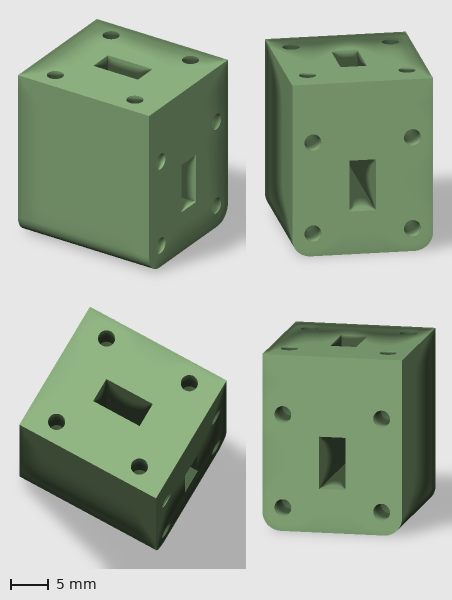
import cadquery as cq
import math

length_x = 20.95
width_y = 19.05
height_z = 24.0
bottom_edge_radius = 2.5

guide_long = 7.1
guide_short = 3.55
guide_axis_z = 9.53

hole_spacing_long = 12.7
hole_spacing_y = 13.46
hole_diameter = 2.28
hole_depth = 4.8
drill_point_angle = 118.0


def drilled_hole():
    """Cutting tool for a hole entering the plane Z = 0 downwards."""
    radius = hole_diameter / 2
    point_depth = radius / math.tan(math.radians(drill_point_angle / 2))
    return (
        cq.Workplane("XZ")
        .moveTo(0, 0)
        .lineTo(radius, 0)
        .lineTo(radius, -hole_depth)
        .lineTo(0, -hole_depth - point_depth)
        .close()
        .revolve(360, (0, 0, 0), (0, 1, 0))
    )


def cut_flange_holes(body, port_plane):
    """Cut four holes around a port; the plane's local Y runs along global Y."""
    for long_side in (-1, 1):
        for y_side in (-1, 1):
            tool = drilled_hole().translate(
                (long_side * hole_spacing_long / 2, y_side * hole_spacing_y / 2, 0)
            )
            body = body.cut(cq.Workplane(tool.val().moved(cq.Location(port_plane))))
    return body


block = (
    cq.Workplane("XY")
    .box(length_x, width_y, height_z, centered=(True, True, False))
    .edges("|X and <Z")
    .fillet(bottom_edge_radius)
)

through_guide = cq.Workplane("XY").box(length_x, guide_short, guide_long)
through_guide = through_guide.translate((0, 0, guide_axis_z))
branch_floor_z = guide_axis_z - guide_long / 2
branch_guide = (
    cq.Workplane("XY")
    .workplane(offset=branch_floor_z)
    .rect(guide_long, guide_short)
    .extrude(height_z - branch_floor_z)
)
block = block.cut(through_guide).cut(branch_guide)

port_planes = [
    cq.Plane(origin=(0, 0, height_z), xDir=(1, 0, 0), normal=(0, 0, 1)),
    cq.Plane(origin=(-length_x / 2, 0, guide_axis_z), xDir=(0, 0, 1), normal=(-1, 0, 0)),
    cq.Plane(origin=(length_x / 2, 0, guide_axis_z), xDir=(0, 0, -1), normal=(1, 0, 0)),
]
for plane in port_planes:
    block = cut_flange_holes(block, plane)

result = block